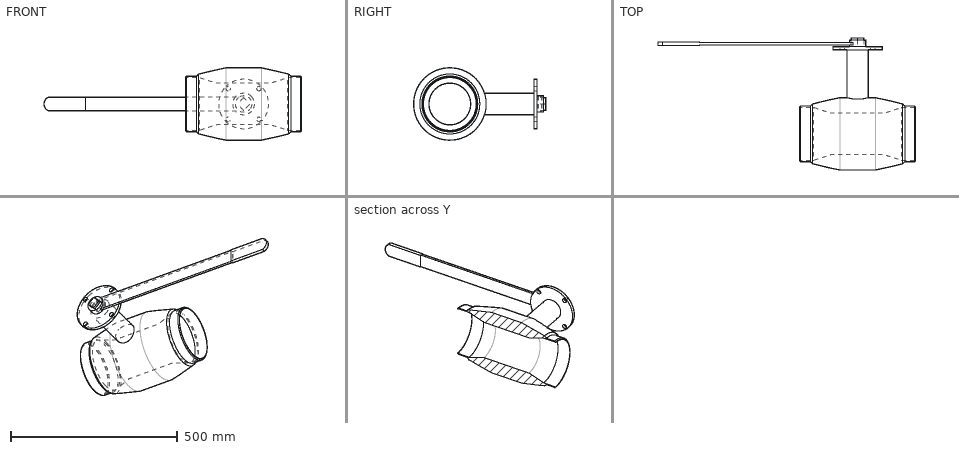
import cadquery as cq
import math

overall_length = 776.0
overall_depth = 399.0

valve_length = 349.0
barrel_diameter = 219.0
band_length = 106.0
shoulder_diameter = 181.0
shoulder_length = 271.0
neck_length = 284.0
taper_bulge = 1.0
pipe_diameter = 168.5
pipe_end_chamfer = 3.0

pipe_bore = 159.0
bore_taper_span = 265.5
seat_bore = 125.0
seat_length = 160.0

housing_diameter = 65.0
flange_diameter = 150.0
flange_thickness = 10.0
bolt_circle = 130.0
bolt_hole_diameter = 13.0
bolt_count = 4
first_bolt_angle = 45.0
square_side = 27.0
square_rise = 7.0

hub_diameter = 50.0
hub_height = 19.5
lever_width = 42.0
lever_thickness = 8.0
lever_height = 8.5
grip_thickness = 12.0
grip_length = 126.0
grip_tip_depth = 14.0

half_valve = valve_length / 2
stem_top = overall_depth - barrel_diameter / 2
hub_top = stem_top - square_rise
flange_top = hub_top - hub_height
flange_bottom = flange_top - flange_thickness
lever_centre = flange_top + lever_height
handle_tip = half_valve - overall_length


def plane_across_y(height):
    """Plane at the given Y, facing +Y, with its local x along X and local y along -Z."""
    return cq.Workplane(cq.Plane(origin=(0, height, 0), xDir=(1, 0, 0), normal=(0, 1, 0)))


def disc_across_y(diameter, bottom, top):
    """Cylinder along Y between two heights."""
    return plane_across_y(bottom).circle(diameter / 2).extrude(top - bottom)


def square_stem(bottom, top):
    """Square prism with one corner pointing along X and the next along Z."""
    diagonal = square_side * math.sqrt(2)
    return plane_across_y(bottom).polygon(4, diagonal).extrude(top - bottom)


def make_barrel():
    """Revolved outside of the barrel with its two pipe ends, without the passage."""
    pipe_radius = pipe_diameter / 2
    barrel_radius = barrel_diameter / 2
    shoulder_radius = shoulder_diameter / 2
    taper_middle_x = (band_length + shoulder_length) / 4
    taper_middle_radius = (barrel_radius + shoulder_radius) / 2 + taper_bulge
    profile = (
        cq.Workplane("XY")
        .moveTo(-half_valve, 0)
        .lineTo(-half_valve, pipe_radius)
        .lineTo(-neck_length / 2, pipe_radius)
        .lineTo(-shoulder_length / 2, shoulder_radius)
        .threePointArc((-taper_middle_x, taper_middle_radius), (-band_length / 2, barrel_radius))
        .lineTo(band_length / 2, barrel_radius)
        .threePointArc((taper_middle_x, taper_middle_radius), (shoulder_length / 2, shoulder_radius))
        .lineTo(neck_length / 2, pipe_radius)
        .lineTo(half_valve, pipe_radius)
        .lineTo(half_valve, 0)
        .close()
    )
    barrel = profile.revolve(360, (0, 0, 0), (1, 0, 0))
    return barrel.faces("<X or >X").edges().chamfer(pipe_end_chamfer)


def make_passage():
    """Flow passage: a wide bore at each end that tapers down to the narrow middle."""
    return (
        cq.Workplane("XY")
        .moveTo(-half_valve, 0)
        .lineTo(-half_valve, pipe_bore / 2)
        .lineTo(-bore_taper_span / 2, pipe_bore / 2)
        .lineTo(-seat_length / 2, seat_bore / 2)
        .lineTo(seat_length / 2, seat_bore / 2)
        .lineTo(bore_taper_span / 2, pipe_bore / 2)
        .lineTo(half_valve, pipe_bore / 2)
        .lineTo(half_valve, 0)
        .close()
        .revolve(360, (0, 0, 0), (1, 0, 0))
    )


def make_flange():
    bolt_holes = (
        plane_across_y(flange_bottom)
        .polarArray(bolt_circle / 2, first_bolt_angle, 360, bolt_count)
        .circle(bolt_hole_diameter / 2)
        .extrude(flange_thickness)
    )
    return disc_across_y(flange_diameter, flange_bottom, flange_top).cut(bolt_holes)


def make_valve():
    housing = disc_across_y(housing_diameter, 0, flange_bottom)
    return (
        make_barrel()
        .union(housing)
        .cut(make_passage())
        .union(make_flange())
        .union(square_stem(flange_top, stem_top))
    )


def make_handle():
    """Flat lever with a thicker rounded grip, and a round hub that fits over the square stem."""
    half_width = lever_width / 2
    grip_end = handle_tip + grip_length
    arc_start = handle_tip + grip_tip_depth
    hub = disc_across_y(hub_diameter, flange_top, hub_top)
    lever = (
        plane_across_y(lever_centre - lever_thickness / 2)
        .moveTo(grip_end, -half_width)
        .lineTo(0, -half_width)
        .lineTo(0, half_width)
        .lineTo(grip_end, half_width)
        .close()
        .extrude(lever_thickness)
    )
    grip = (
        plane_across_y(lever_centre - grip_thickness / 2)
        .moveTo(grip_end, -half_width)
        .lineTo(grip_end, half_width)
        .lineTo(arc_start, half_width)
        .threePointArc((handle_tip, 0), (arc_start, -half_width))
        .close()
        .extrude(grip_thickness)
    )
    return hub.union(lever).union(grip).cut(square_stem(flange_top, hub_top))


valve = make_valve()
handle = make_handle()

result = cq.Compound.makeCompound([valve.solids().val(), handle.solids().val()])